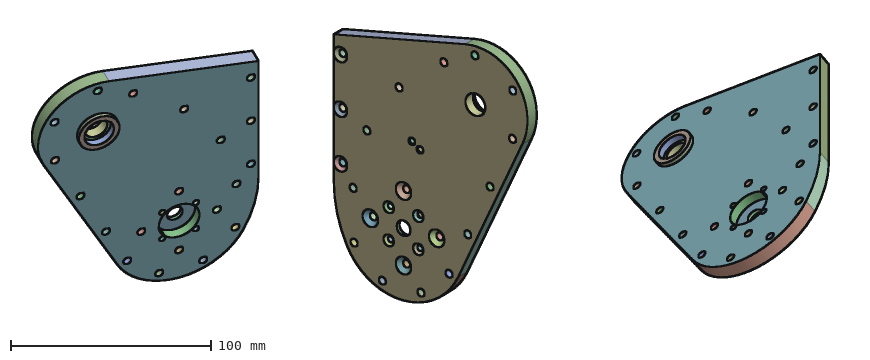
import cadquery as cq
import math


OVERALL_THICKNESS = 10.5
OVERALL_WIDTH = 119.6
OVERALL_HEIGHT = 151.8
PLATE_THICKNESS = 8.0
BOSS_DIAMETER = 22.0
BORE_DIAMETER = 12.1
BEARING_SEAT_DIAMETER = 16.0
BEARING_SEAT_DEPTH = 4.1

UPPER_RADIUS = 32.2
LOWER_RADIUS = 38.2
SIDE_RADIUS = 72.7
SIDE_EDGE_Y = OVERALL_WIDTH - UPPER_RADIUS
LOWER_CENTER_Y = 45.2
LOWER_CENTER_Z = UPPER_RADIUS + LOWER_RADIUS - OVERALL_HEIGHT
TOP_CORNER_Z = 15.2

MOTOR_Y = 44.3
MOTOR_Z = -79.8
MOTOR_OPENING_DIAMETER = 8.3
MOTOR_RECESS_DIAMETER = 22.0
MOTOR_RECESS_FLOOR_X = 2.5
RING_RADIUS = 20.5
RING_HOLE_DIAMETER = 4.2
RING_SINK_DIAMETER = 9.5
SQUARE_HALF_SIDE = 9.1
SQUARE_HOLE_DIAMETER = 3.2
SQUARE_SINK_DIAMETER = 6.4

EDGE_HOLE_DIAMETER = 4.2
EDGE_SINK_DIAMETER = 8.3
EDGE_HOLE_Y = SIDE_EDGE_Y - EDGE_SINK_DIAMETER / 2
EDGE_TOP_HOLE_Z = 5.2
EDGE_HOLE_PITCH = 30.0
EDGE_HOLE_COUNT = 3

SINK_ANGLE = 90.0

PLAIN_HOLE_DIAMETER = 4.2
PLAIN_HOLES = [
    (0.3, 27.0),
    (19.4, 18.0),
    (47.0, -3.2),
    (66.9, -32.2),
    (75.4, -66.0),
    (74.8, -95.9),
    (57.4, -112.1),
    (33.5, -112.3),
    (16.2, -97.3),
    (4.7, -72.5),
    (-9.1, -42.6),
    (-22.9, -12.6),
    (-23.0, 14.0),
]

PILOT_HOLES = [
    (39.2, -30.7),
    (34.1, -34.0),
]
PILOT_DIAMETER = 3.2
PILOT_MOUTH_DIAMETER = 4.1
PILOT_DEPTH = 5.3
DRILL_TIP_ANGLE = 118.0


def point_on_circle(center, radius, angle):
    """Point at an angle measured from +Y towards +Z."""
    return (center[0] + radius * math.cos(angle), center[1] + radius * math.sin(angle))


def direction(start, end):
    return math.atan2(end[1] - start[1], end[0] - start[0])


def plate_outline():
    """Closed outline whose arcs run tangent into one another and into the straight edges."""
    upper = (0.0, 0.0)
    lower = (LOWER_CENTER_Y, LOWER_CENTER_Z)

    side_y = SIDE_EDGE_Y - SIDE_RADIUS
    rise = math.sqrt((SIDE_RADIUS - LOWER_RADIUS) ** 2 - (lower[0] - side_y) ** 2)
    side = (side_y, lower[1] + rise)
    side_end_angle = direction(side, lower)
    side_start = (SIDE_EDGE_Y, side[1])
    side_middle = point_on_circle(side, SIDE_RADIUS, side_end_angle / 2)
    side_end = point_on_circle(side, SIDE_RADIUS, side_end_angle)

    centers_distance = math.dist(upper, lower)
    lean = math.acos((LOWER_RADIUS - UPPER_RADIUS) / centers_distance)
    slant_angle = direction(lower, upper) + lean
    slant_start = point_on_circle(lower, LOWER_RADIUS, slant_angle)
    slant_end = point_on_circle(upper, UPPER_RADIUS, slant_angle)

    corner = (SIDE_EDGE_Y, TOP_CORNER_Z)
    corner_distance = math.dist(upper, corner)
    top_angle = direction(upper, corner) + math.acos(UPPER_RADIUS / corner_distance)
    top_start = point_on_circle(upper, UPPER_RADIUS, top_angle)

    return (
        cq.Workplane("YZ")
        .moveTo(*corner)
        .lineTo(*side_start)
        .threePointArc(side_middle, side_end)
        .threePointArc((lower[0], lower[1] - LOWER_RADIUS), slant_start)
        .lineTo(*slant_end)
        .threePointArc((-UPPER_RADIUS, 0.0), top_start)
        .close()
    )


def drill(body, points, diameter, start_x=0.0):
    """Cut holes from the depth start_x out through the inner side."""
    holes = (
        cq.Workplane("YZ", origin=(start_x, 0, 0))
        .pushPoints(points)
        .circle(diameter / 2)
        .extrude(OVERALL_THICKNESS - start_x)
    )
    return body.cut(holes)


def countersink(body, points, hole_diameter, sink_diameter):
    """Cut through holes with a conical seat in the outer face."""
    return (
        body.faces("<X")
        .workplane(origin=(0, 0, 0))
        .pushPoints([(-y, z) for y, z in points])
        .cskHole(hole_diameter, sink_diameter, SINK_ANGLE)
    )


def pilot_hole(y, z):
    """Solid of one blind hole, turned about its axis."""
    radius = PILOT_DIAMETER / 2
    mouth_radius = PILOT_MOUTH_DIAMETER / 2
    mouth_depth = mouth_radius - radius
    tip_length = radius / math.tan(math.radians(DRILL_TIP_ANGLE / 2))
    profile = [
        (0, 0),
        (0, mouth_radius),
        (mouth_depth, radius),
        (PILOT_DEPTH, radius),
        (PILOT_DEPTH + tip_length, 0),
    ]
    return (
        cq.Workplane("XY")
        .polyline(profile)
        .close()
        .revolve(360, (0, 0, 0), (1, 0, 0))
        .translate((0, y, z))
    )


plate = plate_outline().extrude(PLATE_THICKNESS)
boss = cq.Workplane("YZ").circle(BOSS_DIAMETER / 2).extrude(OVERALL_THICKNESS)
result = plate.union(boss)

bearing_seat_floor_x = OVERALL_THICKNESS - BEARING_SEAT_DEPTH
result = drill(result, [(0, 0)], BORE_DIAMETER)
result = drill(result, [(0, 0)], BEARING_SEAT_DIAMETER, bearing_seat_floor_x)
result = drill(result, [(MOTOR_Y, MOTOR_Z)], MOTOR_OPENING_DIAMETER)
result = drill(result, [(MOTOR_Y, MOTOR_Z)], MOTOR_RECESS_DIAMETER, MOTOR_RECESS_FLOOR_X)
result = drill(result, PLAIN_HOLES, PLAIN_HOLE_DIAMETER)

ring_holes = [
    point_on_circle((MOTOR_Y, MOTOR_Z), RING_RADIUS, math.radians(angle))
    for angle in (0, 90, 180, 270)
]
square_holes = [
    (MOTOR_Y + side * SQUARE_HALF_SIDE, MOTOR_Z + level * SQUARE_HALF_SIDE)
    for side in (-1, 1)
    for level in (-1, 1)
]
edge_holes = [
    (EDGE_HOLE_Y, EDGE_TOP_HOLE_Z - index * EDGE_HOLE_PITCH) for index in range(EDGE_HOLE_COUNT)
]
result = countersink(result, ring_holes, RING_HOLE_DIAMETER, RING_SINK_DIAMETER)
result = countersink(result, square_holes, SQUARE_HOLE_DIAMETER, SQUARE_SINK_DIAMETER)
result = countersink(result, edge_holes, EDGE_HOLE_DIAMETER, EDGE_SINK_DIAMETER)

for pilot_y, pilot_z in PILOT_HOLES:
    result = result.cut(pilot_hole(pilot_y, pilot_z))